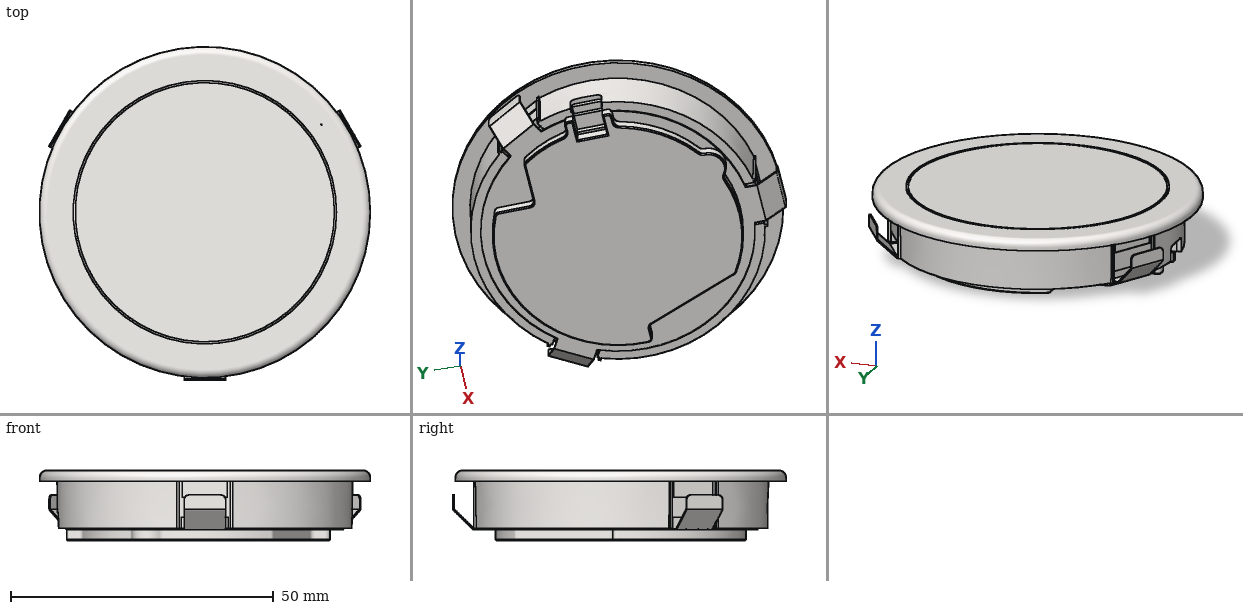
import cadquery as cq
import math


RIM_RADIUS = 31.5
RIM_DEPTH = 2.1
RIM_ROUNDING = 1.45
LENS_GROOVE_OUTER_RADIUS = 25.05
LENS_GROOVE_WIDTH = 0.4
LENS_GROOVE_DEPTH = 0.3

COLLAR_DEPTH = 2.3
HOUSING_TOP_RADIUS = 28.15
HOUSING_BOTTOM_RADIUS = 28.0
HOUSING_DEPTH = 11.05
FLOOR_RADIUS = 26.1
FLOOR_DEPTH = 11.35

BASE_RADIUS = 23.85
BASE_DEPTH = 13.4
BASE_EDGE_CHAMFER = 0.25
SCREW_LOBE_ANGLE = 242.2
SCREW_LOBE_REACH = 26.0
SCREW_LOBE_RADIUS = 3.3
SCREW_LOBE_FILLET = 1.2
CABLE_LOBE_REACH = 26.3
CABLE_LOBE_WIDTH = 9.2
CABLE_LOBE_CORNER = 0.8
CABLE_LOBE_FILLET = 1.2

STEP_X = -10.0
STEP_Y = 14.0
FLAT_START_X = 12.9
FLAT_START = (FLAT_START_X, -math.sqrt(BASE_RADIUS**2 - FLAT_START_X**2))
FLAT_END = (20.3, -1.5)
RECESS_FILLET = 1.0

SLOT_WIDTH = 5.7
SLOT_SPAN = (-SLOT_WIDTH / 2, SLOT_WIDTH / 2)
SLOT_BACK_X = -22.0
SLOT_HOUSING_BACK_X = -22.5
SLOT_SHELF_X = -25.5
SLOT_SHELF_DEPTH = 9.0
SLOT_CHANNEL_DEPTH = 9.9
NOTCH_WIDTH = 6.1
NOTCH_BACK_X = -27.0
NOTCH_TOP_DEPTH = 8.0
NOTCH_CORNER = 0.9

CLIP_ANGLES = (0, 120, 240)
POCKET_WIDTH = 9.7
POCKET_FLOOR_Y = -27.5
POCKET_RIB_WIDTH = 0.45
POCKET_RIB_Y = -28.0
PAD_WIDTH = 8.6
PAD_DEPTH = 5.15
PAD_Y = -27.65
WINDOW_WIDTH = 9.0
WINDOW_TOP_DEPTH = 8.9
WINDOW_BACK_Y = -25.8
CLIP_WIDTH = 7.9
CLIP_THICKNESS = 0.25
CLIP_OUTER_Y = -31.96
CLIP_TOP_DEPTH = 4.7
CLIP_BEND_DEPTH = 7.48
CLIP_BEND_RADIUS = 0.8
CLIP_KNEE_Y = -28.0
CLIP_FOOT_Y = -25.2
CLIP_CORNER = 0.9


def disc(radius, top_depth, bottom_depth):
    """Round plate between two depths."""
    return cq.Workplane("XY").workplane(offset=-bottom_depth).circle(radius).extrude(bottom_depth - top_depth)


def block(x_range, y_range, top_depth, bottom_depth):
    """Box between two depths."""
    x_low, x_high = x_range
    y_low, y_high = y_range
    size = (x_high - x_low, y_high - y_low, bottom_depth - top_depth)
    return cq.Workplane("XY").box(*size, centered=False).translate((x_low, y_low, -bottom_depth))


def centred_block(width, y_range, top_depth, bottom_depth):
    """Box centred on X = 0."""
    return block((-width / 2, width / 2), y_range, top_depth, bottom_depth)


def make_rim():
    rim = disc(RIM_RADIUS, 0, RIM_DEPTH).faces(">Z").edges().fillet(RIM_ROUNDING)
    groove = disc(LENS_GROOVE_OUTER_RADIUS, 0, LENS_GROOVE_DEPTH).cut(
        disc(LENS_GROOVE_OUTER_RADIUS - LENS_GROOVE_WIDTH, 0, LENS_GROOVE_DEPTH)
    )
    return rim.cut(groove)


def make_housing():
    """Short straight collar, tapered wall and a thin floor plate."""
    profile = [
        (0, -RIM_DEPTH),
        (HOUSING_TOP_RADIUS, -RIM_DEPTH),
        (HOUSING_TOP_RADIUS, -COLLAR_DEPTH),
        (HOUSING_BOTTOM_RADIUS, -HOUSING_DEPTH),
        (FLOOR_RADIUS, -HOUSING_DEPTH),
        (FLOOR_RADIUS, -FLOOR_DEPTH),
        (0, -FLOOR_DEPTH),
    ]
    return cq.Workplane("XZ").polyline(profile).close().revolve(360, (0, 0, 0), (0, 1, 0))


def fillet_near(body, point, radius):
    """Round the upright edge of the body closest to a point in plan."""
    nearest = cq.selectors.NearestToPointSelector((*point, -(FLOOR_DEPTH + BASE_DEPTH) / 2))
    return body.edges("|Z").edges(nearest).fillet(radius)


def make_base():
    """Base disc with a screw lobe, a slotted cable lobe and two side recesses."""
    base = disc(BASE_RADIUS, FLOOR_DEPTH, BASE_DEPTH)

    lobe_centre = SCREW_LOBE_REACH - SCREW_LOBE_RADIUS
    screw_lobe = disc(SCREW_LOBE_RADIUS, FLOOR_DEPTH, BASE_DEPTH).translate((lobe_centre, 0, 0))
    base = base.union(screw_lobe.rotate((0, 0, 0), (0, 0, 1), SCREW_LOBE_ANGLE))
    joint_cosine = (BASE_RADIUS**2 + lobe_centre**2 - SCREW_LOBE_RADIUS**2) / (2 * BASE_RADIUS * lobe_centre)
    joint_offset = math.acos(joint_cosine)
    for side in (-1, 1):
        angle = math.radians(SCREW_LOBE_ANGLE) + side * joint_offset
        joint = (BASE_RADIUS * math.cos(angle), BASE_RADIUS * math.sin(angle))
        base = fillet_near(base, joint, SCREW_LOBE_FILLET)

    half_width = CABLE_LOBE_WIDTH / 2
    cable_lobe = block((-CABLE_LOBE_REACH, 0), (-half_width, half_width), FLOOR_DEPTH, BASE_DEPTH)
    base = base.union(cable_lobe.edges("|Z and <X").fillet(CABLE_LOBE_CORNER))
    for side in (-1, 1):
        joint = (-math.sqrt(BASE_RADIUS**2 - half_width**2), side * half_width)
        base = fillet_near(base, joint, CABLE_LOBE_FILLET)

    step = block((-RIM_RADIUS, STEP_X), (STEP_Y, RIM_RADIUS), FLOOR_DEPTH, BASE_DEPTH)
    base = base.cut(step)
    step_corners = [
        (STEP_X, STEP_Y),
        (STEP_X, math.sqrt(BASE_RADIUS**2 - STEP_X**2)),
        (-math.sqrt(BASE_RADIUS**2 - STEP_Y**2), STEP_Y),
    ]
    for corner in step_corners:
        base = fillet_near(base, corner, RECESS_FILLET)

    flat_outline = [
        FLAT_START,
        FLAT_END,
        (RIM_RADIUS, FLAT_END[1]),
        (RIM_RADIUS, -RIM_RADIUS),
        (FLAT_START[0], -RIM_RADIUS),
    ]
    flat_plane = cq.Workplane("XY").workplane(offset=-BASE_DEPTH)
    base = base.cut(flat_plane.polyline(flat_outline).close().extrude(BASE_DEPTH - FLOOR_DEPTH))
    flat_corners = [
        FLAT_START,
        FLAT_END,
        (math.sqrt(BASE_RADIUS**2 - FLAT_END[1] ** 2), FLAT_END[1]),
    ]
    for corner in flat_corners:
        base = fillet_near(base, corner, RECESS_FILLET)

    base = base.cut(block((-RIM_RADIUS, SLOT_BACK_X), SLOT_SPAN, FLOOR_DEPTH, BASE_DEPTH))
    return base.faces("<Z").edges().chamfer(BASE_EDGE_CHAMFER)


def cut_cable_slot(body):
    """Rounded notch through the housing wall, then a stepped channel behind it."""
    notch_span = (-NOTCH_WIDTH / 2, NOTCH_WIDTH / 2)
    notch = block((-RIM_RADIUS, NOTCH_BACK_X), notch_span, NOTCH_TOP_DEPTH, BASE_DEPTH)
    notch = notch.edges("|X and >Z").fillet(NOTCH_CORNER)
    channel = block((-RIM_RADIUS, SLOT_HOUSING_BACK_X), SLOT_SPAN, SLOT_CHANNEL_DEPTH, HOUSING_DEPTH)
    shelf = block((-RIM_RADIUS, SLOT_SHELF_X), SLOT_SPAN, SLOT_SHELF_DEPTH, FLOOR_DEPTH)
    floor_gap = block((-RIM_RADIUS, SLOT_BACK_X), SLOT_SPAN, HOUSING_DEPTH, FLOOR_DEPTH)
    return body.cut(notch).cut(channel).cut(shelf).cut(floor_gap)


def make_pocket_cut():
    """Flat pocket in the housing wall behind the -Y clip, with a deeper window for the clip foot."""
    pocket = centred_block(POCKET_WIDTH, (-RIM_RADIUS, POCKET_FLOOR_Y), RIM_DEPTH, FLOOR_DEPTH)
    window = centred_block(WINDOW_WIDTH, (-RIM_RADIUS, WINDOW_BACK_Y), WINDOW_TOP_DEPTH, FLOOR_DEPTH)
    return pocket.union(window)


def make_pocket_details():
    """Raised pad on the pocket floor and a rib along each side of the pocket."""
    details = centred_block(PAD_WIDTH, (PAD_Y, WINDOW_BACK_Y), RIM_DEPTH, PAD_DEPTH)
    for side in (-1, 1):
        centre_x = side * (POCKET_WIDTH + POCKET_RIB_WIDTH) / 2
        rib = centred_block(POCKET_RIB_WIDTH, (POCKET_RIB_Y, WINDOW_BACK_Y), RIM_DEPTH, HOUSING_DEPTH)
        details = details.union(rib.translate((centre_x, 0, 0)))
    return details


def make_clip():
    """Bent strip: foot under the housing, sloping leg and upright tip with rounded corners."""
    inner_y = CLIP_OUTER_Y + CLIP_THICKNESS
    leg_angle = math.atan2(FLOOR_DEPTH - CLIP_BEND_DEPTH, CLIP_KNEE_Y - CLIP_OUTER_Y)
    bend_shift = CLIP_THICKNESS * math.tan(math.pi / 4 - leg_angle / 2)
    knee_shift = CLIP_THICKNESS * math.tan(leg_angle / 2)
    profile = [
        (CLIP_OUTER_Y, -CLIP_TOP_DEPTH),
        (CLIP_OUTER_Y, -CLIP_BEND_DEPTH),
        (CLIP_KNEE_Y, -FLOOR_DEPTH),
        (CLIP_FOOT_Y, -FLOOR_DEPTH),
        (CLIP_FOOT_Y, -FLOOR_DEPTH + CLIP_THICKNESS),
        (CLIP_KNEE_Y + knee_shift, -FLOOR_DEPTH + CLIP_THICKNESS),
        (inner_y, -CLIP_BEND_DEPTH + bend_shift),
        (inner_y, -CLIP_TOP_DEPTH),
    ]
    strip = cq.Workplane("YZ").polyline(profile).close().extrude(CLIP_WIDTH / 2, both=True)
    outer_bend = cq.selectors.NearestToPointSelector((0, CLIP_OUTER_Y, -CLIP_BEND_DEPTH))
    strip = strip.edges("|X").edges(outer_bend).fillet(CLIP_BEND_RADIUS)
    return strip.edges("|Y and >Z").fillet(CLIP_CORNER)


def add_clips(body):
    for angle in CLIP_ANGLES:
        axis = ((0, 0, 0), (0, 0, 1))
        body = body.cut(make_pocket_cut().rotate(*axis, angle))
        body = body.union(make_pocket_details().rotate(*axis, angle))
        body = body.union(make_clip().rotate(*axis, angle))
    return body


body = make_rim().union(make_housing()).union(make_base())
body = cut_cable_slot(body)
result = add_clips(body)